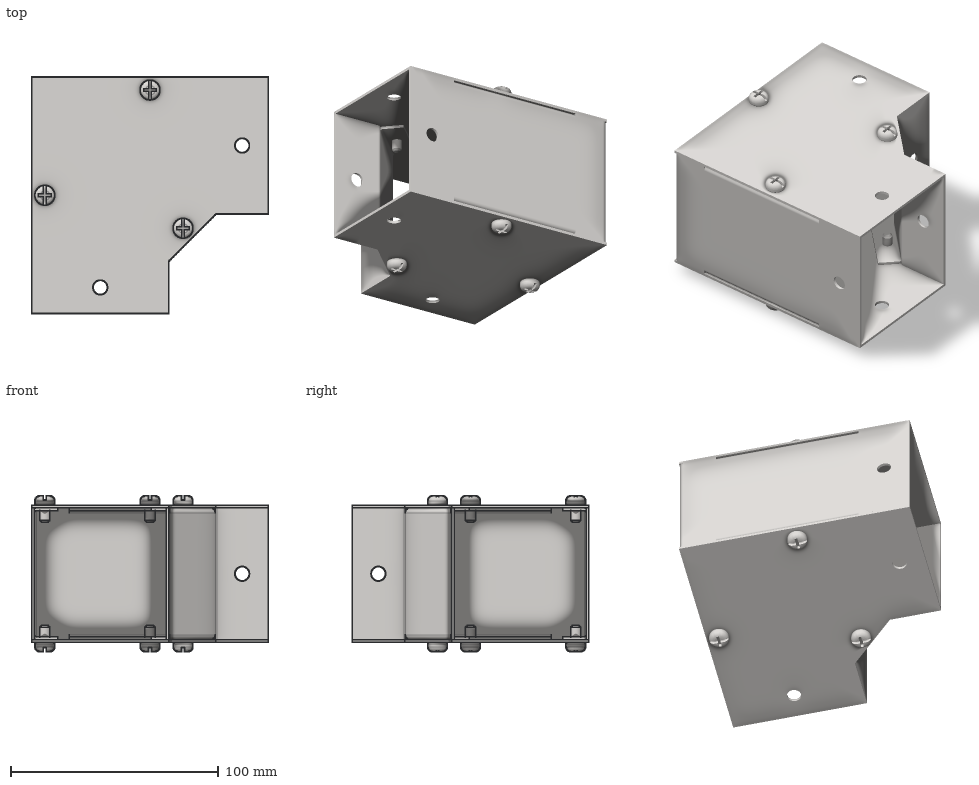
import cadquery as cq
import math

side = 114.3
duct = 66.3
overall_height = 75.3
corner_cut = 22.6
sheet = 1.4
bend_inner = 0.9
bend_outer = bend_inner + sheet

hole_diameter = 6.9
hole_inset = 12.7

tab_reach = 12.7
outer_tab_near = 18.3
outer_tab_far = 89.0
diagonal_tab_length = 31.0

screw_inset = 6.4
shank_diameter = 4.9
shank_length = 8.2
tip_chamfer = 0.9
head_diameter = 9.6
head_height = (overall_height - duct) / 2
head_round = 2.5
head_foot_round = 0.7
slot_width = 1.4
slot_depth = 2.1
cross_length = 6.2

cos45 = math.sqrt(0.5)
inner_height = duct - 2 * sheet
plate_face = inner_height / 2
notch = side - duct
outline = [
    (0, 0),
    (duct, 0),
    (duct, notch - corner_cut),
    (duct + corner_cut, notch),
    (side, notch),
    (side, side),
    (0, side),
]
diagonal_middle = (duct + corner_cut / 2, notch - corner_cut / 2)
diagonal_inward = (-cos45, cos45)
screw_places = [
    (screw_inset, side / 2),
    (side / 2, side - screw_inset),
    tuple(m + screw_inset * d for m, d in zip(diagonal_middle, diagonal_inward)),
]
plate_hole_places = [(duct / 2, hole_inset), (side - hole_inset, side - duct / 2)]


def posts(places, diameter):
    """Vertical cutters through the whole height, one at each place."""
    return (
        cq.Workplane("XY", origin=(0, 0, -duct))
        .pushPoints(places)
        .circle(diameter / 2)
        .extrude(2 * duct)
    )


def wall_holes():
    """Cutters through the side walls near the open ends."""
    along_x = (
        cq.Workplane("YZ")
        .center(hole_inset, 0)
        .circle(hole_diameter / 2)
        .extrude(side)
    )
    along_y = (
        cq.Workplane("XZ")
        .center(side - hole_inset, 0)
        .circle(hole_diameter / 2)
        .extrude(-side)
    )
    return along_x.union(along_y)


def make_plate(bottom):
    """Flat cover plate resting on the walls, with its lower face at the given height."""
    plate = cq.Workplane("XY", origin=(0, 0, bottom)).polyline(outline).close().extrude(sheet)
    return plate.cut(posts(plate_hole_places, hole_diameter)).cut(posts(screw_places, shank_diameter))


def upright_sheet(points):
    """Vertical sheet between the plates over the given outline."""
    return (
        cq.Workplane("XY", origin=(0, 0, -plate_face))
        .polyline(points)
        .close()
        .extrude(inner_height)
    )


def add_tabs(wall, start, along, inward, length):
    """Fold one tab at the top and one at the bottom out of a wall.

    start is the tab's first end on the wall's outer face.
    """
    frame = cq.Plane(
        origin=(start[0], start[1], 0),
        xDir=(inward[0], inward[1], 0),
        normal=(along[0], along[1], 0),
    )
    up = 1 if frame.yDir.z > 0 else -1
    for end in (up, -up):
        top = end * plate_face
        bend_height = end * (plate_face - bend_outer)
        under = end * (plate_face - sheet)
        space = (
            cq.Workplane(frame)
            .polyline([(0, top), (bend_outer, top), (bend_outer, bend_height), (0, bend_height)])
            .close()
            .extrude(length)
        )
        tab = (
            cq.Workplane(frame)
            .moveTo(0, bend_height)
            .threePointArc(
                (bend_outer * (1 - cos45), bend_height + end * bend_outer * cos45),
                (bend_outer, top),
            )
            .lineTo(tab_reach, top)
            .lineTo(tab_reach, under)
            .lineTo(bend_outer, under)
            .threePointArc(
                (bend_outer - bend_inner * cos45, bend_height + end * bend_inner * cos45),
                (sheet, bend_height),
            )
            .close()
            .extrude(length)
        )
        wall = wall.cut(space).union(tab)
    return wall


def finish_wall(wall):
    """Drill the mounting holes and the screw holes through the wall and its tabs."""
    return wall.cut(wall_holes()).cut(posts(screw_places, shank_diameter))


def make_outer_wall():
    """Wall along both outer sides, bent at the corner (0, side)."""
    wall = upright_sheet([
        (0, 0),
        (sheet, 0),
        (sheet, side - sheet),
        (side, side - sheet),
        (side, side),
        (0, side),
    ])
    wall = wall.edges(cq.selectors.NearestToPointSelector((0, side, 0))).fillet(bend_outer)
    wall = wall.edges(cq.selectors.NearestToPointSelector((sheet, side - sheet, 0))).fillet(bend_inner)
    length = outer_tab_far - outer_tab_near
    wall = add_tabs(wall, (0, side - outer_tab_far), (0, 1), (1, 0), length)
    wall = add_tabs(wall, (outer_tab_near, side), (1, 0), (0, -1), length)
    return finish_wall(wall)


def make_inner_wall():
    """Wall along the inner sides and the diagonal between them."""
    shift = sheet * math.tan(math.pi / 8)
    low = (duct, notch - corner_cut)
    high = (duct + corner_cut, notch)
    low_inside = (duct - sheet, low[1] + shift)
    high_inside = (high[0] - shift, notch + sheet)
    wall = upright_sheet([
        (duct, 0),
        low,
        high,
        (side, notch),
        (side, notch + sheet),
        high_inside,
        low_inside,
        (duct - sheet, 0),
    ])
    for corner in (low, high):
        wall = wall.edges(cq.selectors.NearestToPointSelector((*corner, 0))).fillet(bend_inner)
    for corner in (low_inside, high_inside):
        wall = wall.edges(cq.selectors.NearestToPointSelector((*corner, 0))).fillet(bend_outer)
    half = diagonal_tab_length / 2 * cos45
    start = (diagonal_middle[0] - half, diagonal_middle[1] - half)
    wall = add_tabs(wall, start, (1, 1), diagonal_inward, diagonal_tab_length)
    return finish_wall(wall)


def make_screw():
    """Screw with its head standing on z = 0 and a slot along Y crossed by a shorter one."""
    head = (
        cq.Workplane("XY")
        .circle(head_diameter / 2)
        .extrude(head_height)
        .faces(">Z").edges().fillet(head_round)
        .faces("<Z").edges().fillet(head_foot_round)
    )
    shank = (
        cq.Workplane("XY")
        .circle(shank_diameter / 2)
        .extrude(-shank_length)
        .faces("<Z").chamfer(tip_chamfer)
    )
    slots = (
        cq.Workplane("XY", origin=(0, 0, head_height - slot_depth))
        .rect(slot_width, head_diameter)
        .extrude(slot_depth)
        .union(
            cq.Workplane("XY", origin=(0, 0, head_height - slot_depth))
            .rect(cross_length, slot_width)
            .extrude(slot_depth)
        )
    )
    return head.union(shank).cut(slots)


top_plate = make_plate(plate_face)
bottom_plate = make_plate(-plate_face - sheet)
outer_wall = make_outer_wall()
inner_wall = make_inner_wall()

top_screw = make_screw().translate((0, 0, duct / 2))
bottom_screw = top_screw.mirror("XY")
screws = [
    screw.translate((x, y, 0)).val()
    for screw in (top_screw, bottom_screw)
    for x, y in screw_places
]

result = cq.Compound.makeCompound([
    top_plate.val(),
    bottom_plate.val(),
    outer_wall.val(),
    inner_wall.val(),
    *screws,
])